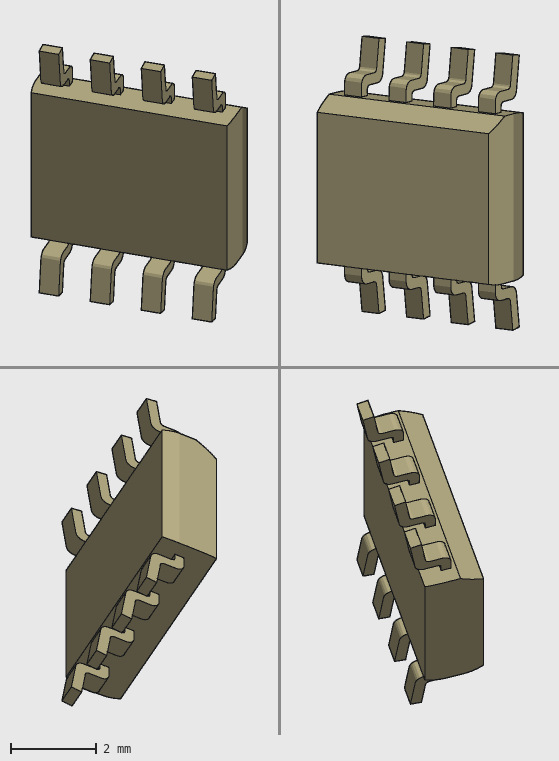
import cadquery as cq
import math

OVERALL_DEPTH = 1.71
OVERALL_HEIGHT = 6.58

BODY_WIDTH = 5.0
BODY_HEIGHT = 4.0
BODY_DEPTH = 1.45
BOW_DEPTH = 0.495
BOW_INSET = 0.06
BEVEL_DEPTH = 0.585
BEVEL_ANGLE = 30.0

LEADS_PER_ROW = 4
LEAD_PITCH = 1.27
LEAD_WIDTH = 0.49
STUB_THICKNESS = 0.245
SHOULDER_THICKNESS = 0.26
LEAD_STANDOFF = 0.24
FOOT_THICKNESS = 0.275
FOOT_TILT = 8.0
INNER_BEND_RADIUS = 0.1
OUTER_BEND_RADIUS = 0.22
LEAD_EMBED = 0.2

BACK_Y = OVERALL_DEPTH / 2
FRONT_Y = BACK_Y - BODY_DEPTH
BACK_BOW_Y = BACK_Y - BOW_DEPTH
FRONT_BOW_Y = FRONT_Y + BOW_DEPTH
BODY_TOP_Z = BODY_HEIGHT / 2


def bowed_bar(plane, span, length):
    """Bar along the plane's normal, with two opposite sides curving in at front and back.

    The plane's second axis must be +Y.
    """
    half = span / 2
    half_face = half - BOW_INSET
    radius = (BOW_DEPTH**2 + BOW_INSET**2) / (2 * BOW_INSET)
    half_sweep = math.asin(BOW_DEPTH / radius) / 2
    half_middle = half - radius * (1 - math.cos(half_sweep))
    middle_rise = radius * math.sin(half_sweep)
    back_middle_y = BACK_BOW_Y + middle_rise
    front_middle_y = FRONT_BOW_Y - middle_rise
    return (
        cq.Workplane(plane)
        .moveTo(half, FRONT_BOW_Y)
        .lineTo(half, BACK_BOW_Y)
        .threePointArc((half_middle, back_middle_y), (half_face, BACK_Y))
        .lineTo(-half_face, BACK_Y)
        .threePointArc((-half_middle, back_middle_y), (-half, BACK_BOW_Y))
        .lineTo(-half, FRONT_BOW_Y)
        .threePointArc((-half_middle, front_middle_y), (-half_face, FRONT_Y))
        .lineTo(half_face, FRONT_Y)
        .threePointArc((half_middle, front_middle_y), (half, FRONT_BOW_Y))
        .close()
        .extrude(length / 2, both=True)
    )


def make_body():
    """Block bowed on its left, right, top and bottom, with the upper back edge bevelled."""
    side_bowed = bowed_bar("XY", BODY_WIDTH, BODY_HEIGHT)
    top_bowed = bowed_bar("ZY", BODY_HEIGHT, BODY_WIDTH)
    bevel_drop = BEVEL_DEPTH * math.tan(math.radians(BEVEL_ANGLE))
    bevel = (
        cq.Workplane("YZ")
        .moveTo(BACK_Y - BEVEL_DEPTH, BODY_TOP_Z)
        .lineTo(BACK_Y, BODY_TOP_Z - bevel_drop)
        .lineTo(BACK_Y, BODY_TOP_Z)
        .close()
        .extrude(BODY_WIDTH / 2, both=True)
    )
    return side_bowed.intersect(top_bowed).cut(bevel)


def make_upper_lead():
    """Upper lead at X = 0: a stub, a shoulder running forward and a tilted foot."""
    tilt = math.radians(FOOT_TILT)
    stub_front_y = FRONT_BOW_Y
    stub_back_y = stub_front_y + STUB_THICKNESS
    root_z = BODY_TOP_Z - LEAD_EMBED
    shoulder_low_z = BODY_TOP_Z + LEAD_STANDOFF
    shoulder_high_z = shoulder_low_z + SHOULDER_THICKNESS

    tip_front_y = -OVERALL_DEPTH / 2
    tip_back_y = tip_front_y + FOOT_THICKNESS * math.cos(tilt)
    tip_back_z = OVERALL_HEIGHT / 2
    tip_front_z = tip_back_z - FOOT_THICKNESS * math.sin(tilt)
    heel_front_y = tip_front_y + (tip_front_z - shoulder_low_z) * math.tan(tilt)
    heel_back_y = tip_back_y + (tip_back_z - shoulder_high_z) * math.tan(tilt)

    inner_bends = [(stub_front_y, shoulder_low_z), (heel_back_y, shoulder_high_z)]
    outer_bends = [(stub_back_y, shoulder_high_z), (heel_front_y, shoulder_low_z)]
    lead = (
        cq.Workplane("YZ")
        .moveTo(stub_front_y, root_z)
        .lineTo(*inner_bends[0])
        .lineTo(*outer_bends[1])
        .lineTo(tip_front_y, tip_front_z)
        .lineTo(tip_back_y, tip_back_z)
        .lineTo(*inner_bends[1])
        .lineTo(*outer_bends[0])
        .lineTo(stub_back_y, root_z)
        .close()
        .extrude(LEAD_WIDTH / 2, both=True)
    )
    for bends, radius in ((inner_bends, INNER_BEND_RADIUS), (outer_bends, OUTER_BEND_RADIUS)):
        for y, z in bends:
            bend_edge = cq.selectors.NearestToPointSelector((0, y, z))
            lead = lead.edges("|X").edges(bend_edge).fillet(radius)
    return lead


upper_lead = make_upper_lead()
lower_lead = upper_lead.mirror("XY")
result = make_body()
for index in range(LEADS_PER_ROW):
    lead_x = (index - (LEADS_PER_ROW - 1) / 2) * LEAD_PITCH
    for lead in (upper_lead, lower_lead):
        result = result.union(lead.translate((lead_x, 0, 0)))